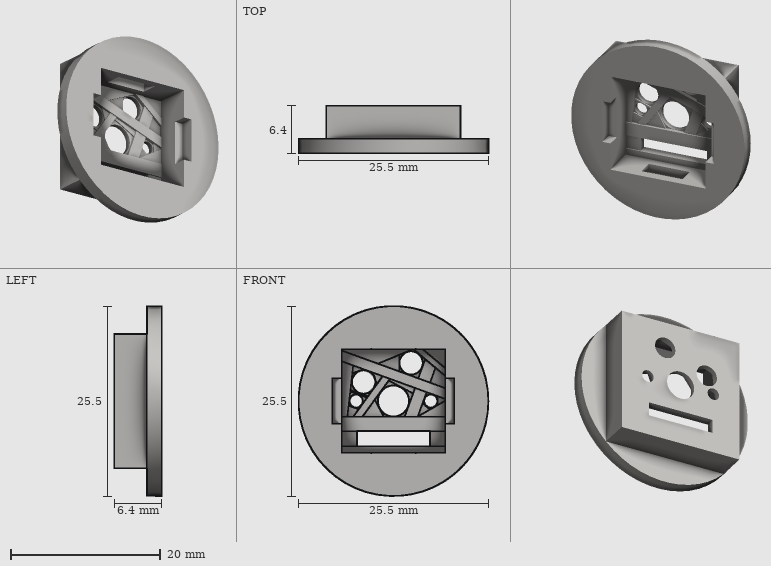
import cadquery as cq
import math

HOUSING_SIDE = 18.0
FLANGE_DIAMETER = HOUSING_SIDE * math.sqrt(2)
FLANGE_THICKNESS = 2.0
TOTAL_DEPTH = 6.4

POCKET_SIDE = 13.9
POCKET_DEPTH = 5.0
HALF_POCKET = POCKET_SIDE / 2
NOTCH_DEPTH = 1.22
SIDE_NOTCH_HEIGHT = 6.06
CLIP_NOTCH_LENGTH = 6.0
CLIP_NOTCH_WIDTH = 2.4
CLIP_NOTCH_START = 1.3

STEP = 0.2
PANEL_LEVEL = POCKET_DEPTH + STEP
WELL_LEVEL = PANEL_LEVEL + STEP
FRAME_LEVEL = WELL_LEVEL + STEP

BAR_TOP = -2.1
BAR_BOTTOM = -4.03
STRIP_TOP = -6.02
SLOT_LENGTH = 9.75

STEM_HOLE = (0.0, 0.0, 2.07)
LEFT_PEG_HOLE = (-5.0, 0.0, 0.87)
RIGHT_PEG_HOLE = (5.0, 0.0, 0.87)
LEFT_PIN_HOLE = (-4.0, 2.55, 1.55)
UPPER_PIN_HOLE = (2.36, 5.1, 1.55)
HOLES = [STEM_HOLE, LEFT_PEG_HOLE, RIGHT_PEG_HOLE, LEFT_PIN_HOLE, UPPER_PIN_HOLE]
HOLE_MARGIN = 0.06

MAIN_TILT = 20.0
CORNER_TILT = 40.0
LEFT_BAR_TILT = 54.0
UPPER_CROSS_WIDTH = 1.68
CORNER_BAR_WIDTH = 0.8

LEFT_PANEL_ANGLE = 173.5
RIGHT_PANEL_ANGLE = -60.0
UPPER_PANEL_ANGLE = 112.5
STEM_FRAME_TOP_ANGLE = 62.0
STEM_FRAME_CORNER_ANGLE = 208.0
RIGHT_PEG_FRAME_SIDE_ANGLE = 3.0
RIGHT_PEG_FRAME_CORNER_ANGLE = 230.0
LEFT_PIN_FRAME_SIDE_ANGLE = 18.0


def tangent(hole, angle):
    """Edge just outside a hole, on the side the angle points to."""
    x, z, radius = hole
    a = math.radians(angle)
    return angle, x * math.cos(a) + z * math.sin(a) + radius + HOLE_MARGIN


def shifted(edge, offset):
    """Parallel edge, moved along the normal."""
    angle, distance = edge
    return angle, distance + offset


def crossing(first, second):
    """Point (x, z) where two edges meet."""
    a, b = math.radians(first[0]), math.radians(second[0])
    det = math.sin(b - a)
    x = (first[1] * math.sin(b) - second[1] * math.sin(a)) / det
    z = (second[1] * math.cos(a) - first[1] * math.cos(b)) / det
    return x, z


def box(x_range, y_range, z_range):
    """Block between pairs of X, Y and Z limits."""
    (x0, x1), (y0, y1), (z0, z1) = x_range, y_range, z_range
    return cq.Workplane("XY").box(x1 - x0, y1 - y0, z1 - z0, centered=False).translate((x0, y0, z0))


def recess(edges, level):
    """Prism from the pocket floor back to a level, bounded by edges in order."""
    corners = [crossing(edges[i - 1], edge) for i, edge in enumerate(edges)]
    prism = cq.Workplane("XZ").polyline(corners).close().extrude(POCKET_DEPTH - level)
    return prism.translate((0, POCKET_DEPTH, 0))


wall_right = (0, HALF_POCKET)
wall_top = (90, HALF_POCKET)
wall_left = (180, HALF_POCKET)
bar_top = (90, BAR_TOP)
main_lower = tangent(LEFT_PIN_HOLE, 90 - MAIN_TILT)
main_upper = tangent(UPPER_PIN_HOLE, 270 - MAIN_TILT)
cross_left = tangent(STEM_HOLE, -MAIN_TILT)
cross_right = tangent(RIGHT_PEG_HOLE, 180 - MAIN_TILT)
upper_cross_left = tangent(UPPER_PIN_HOLE, -MAIN_TILT)
upper_cross_right = shifted(upper_cross_left, UPPER_CROSS_WIDTH)
corner_lower = tangent(UPPER_PIN_HOLE, 90 - CORNER_TILT)
corner_upper = shifted(corner_lower, CORNER_BAR_WIDTH)
left_bar_left = tangent(LEFT_PIN_HOLE, LEFT_BAR_TILT - 90)
left_bar_right = tangent(STEM_HOLE, LEFT_BAR_TILT + 90)

left_panel_edge = tangent(LEFT_PEG_HOLE, LEFT_PANEL_ANGLE)
right_panel_edge = tangent(RIGHT_PEG_HOLE, RIGHT_PANEL_ANGLE)
upper_panel_edge = tangent(UPPER_PIN_HOLE, UPPER_PANEL_ANGLE)

CROSS_BARS = [
    [left_bar_left, main_lower, left_bar_right, bar_top],
    [cross_left, main_lower, cross_right, bar_top],
    [upper_cross_left, corner_lower, upper_cross_right, main_upper],
]

PANELS = [
    [wall_left, main_lower, left_panel_edge, bar_top],
    [right_panel_edge, wall_right, bar_top],
    [wall_left, wall_top, upper_panel_edge, main_upper],
    [corner_upper, wall_top, wall_right],
]

WELLS = [
    [upper_cross_right, corner_lower, wall_right, main_upper],
    [left_panel_edge, main_lower, left_bar_left, bar_top],
    [left_bar_right, main_lower, cross_left, bar_top],
    [cross_right, main_lower, wall_right, right_panel_edge],
    [main_upper, upper_panel_edge, wall_top, corner_lower, upper_cross_left],
]

FRAMES = [
    [
        left_bar_right, tangent(STEM_HOLE, STEM_FRAME_TOP_ANGLE), cross_left,
        bar_top, tangent(STEM_HOLE, STEM_FRAME_CORNER_ANGLE),
    ],
    [
        left_panel_edge, tangent(LEFT_PEG_HOLE, 90 - MAIN_TILT),
        left_bar_left, tangent(LEFT_PEG_HOLE, 270 - MAIN_TILT),
    ],
    [
        cross_right, main_lower, tangent(RIGHT_PEG_HOLE, RIGHT_PEG_FRAME_SIDE_ANGLE),
        right_panel_edge, tangent(RIGHT_PEG_HOLE, RIGHT_PEG_FRAME_CORNER_ANGLE),
    ],
    [
        left_panel_edge, tangent(LEFT_PIN_HOLE, 90 + MAIN_TILT), main_lower,
        tangent(LEFT_PIN_HOLE, LEFT_PIN_FRAME_SIDE_ANGLE), left_bar_left,
        tangent(LEFT_PIN_HOLE, 270 - MAIN_TILT),
    ],
    [
        tangent(UPPER_PIN_HOLE, 180), upper_panel_edge, wall_top,
        corner_lower, upper_cross_left, main_upper,
    ],
]


def body():
    """Flange and housing as one solid, with the square pocket cut."""
    flange = cq.Workplane("XZ").circle(FLANGE_DIAMETER / 2).extrude(-FLANGE_THICKNESS)
    half = HOUSING_SIDE / 2
    housing = box((-half, half), (0, TOTAL_DEPTH), (-half, half))
    pocket_span = (-HALF_POCKET, HALF_POCKET)
    return flange.union(housing).cut(box(pocket_span, (0, POCKET_DEPTH), pocket_span))


def wall_notches():
    """Open notches in the side walls and closed ones in the top and bottom walls."""
    reach = HALF_POCKET + NOTCH_DEPTH
    half_height = SIDE_NOTCH_HEIGHT / 2
    half_length = CLIP_NOTCH_LENGTH / 2
    clip_span = (CLIP_NOTCH_START, CLIP_NOTCH_START + CLIP_NOTCH_WIDTH)
    side = box((-reach, reach), (0, FLANGE_THICKNESS), (-half_height, half_height))
    clip = box((-half_length, half_length), clip_span, (-reach, reach))
    return side.union(clip)


def slot():
    """Shallow band between the horizontal bars, with a slot through it."""
    band_height = (STRIP_TOP, BAR_BOTTOM)
    half = SLOT_LENGTH / 2
    band = box((-HALF_POCKET, HALF_POCKET), (POCKET_DEPTH, PANEL_LEVEL), band_height)
    return band.union(box((-half, half), (POCKET_DEPTH, TOTAL_DEPTH), band_height))


def through_hole(hole):
    """Cylinder for one round hole, from the pocket floor out of the back."""
    x, z, radius = hole
    plane = cq.Workplane("XZ", origin=(0, POCKET_DEPTH, 0))
    return plane.center(x, z).circle(radius).extrude(POCKET_DEPTH - TOTAL_DEPTH)


result = body().cut(wall_notches()).cut(slot())
for level, outlines in (
    (PANEL_LEVEL, CROSS_BARS + PANELS),
    (WELL_LEVEL, WELLS),
    (FRAME_LEVEL, FRAMES),
):
    for outline in outlines:
        result = result.cut(recess(outline, level))
for hole in HOLES:
    result = result.cut(through_hole(hole))